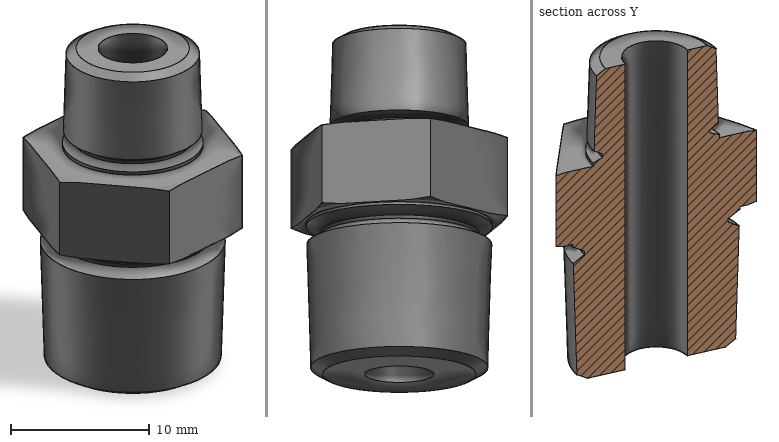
import cadquery as cq
import math

total_length = 25
bore_diameter = 5

hex_across_flats = 14
hex_bottom = 11.2
hex_height = 6.05
hex_top = hex_bottom + hex_height
hex_face_radius = 7.42
hex_top_corner_drop = 0.1
hex_bottom_corner_drop = 0.15

thread_taper = 1 / 32
chamfer_slope = math.tan(math.radians(30))

lower_chamfer = 0.5
lower_thread_top = 9.65
lower_thread_radius = 6.7
lower_groove_bottom = 10.2
lower_groove_top = 10.45
lower_groove_radius = 5.8
lower_collar_bottom = 11
lower_collar_radius = 6.75

upper_chamfer = 0.42
upper_thread_bottom = 18.45
upper_thread_radius = 5.02
upper_groove_top = 18.05
upper_groove_bottom = 17.8
upper_groove_radius = 4.35
upper_collar_top = 17.5
upper_collar_radius = 5.1


def revolve_profile(points):
    """Revolve a closed (radius, height) outline about Z."""
    return cq.Workplane("XZ").polyline(points).close().revolve(360, (0, 0, 0), (0, 1, 0))


def make_hexagon():
    """Hexagon with its corners bevelled by a shallow cone at each end."""
    corner_radius = hex_across_flats / math.sqrt(3)
    prism = (
        cq.Workplane("XY", origin=(0, 0, hex_bottom))
        .polygon(6, 2 * corner_radius)
        .extrude(hex_height)
    )
    overrun = 2
    rim_radius = hex_face_radius + overrun * (corner_radius - hex_face_radius)
    envelope = revolve_profile([
        (0, hex_bottom),
        (hex_face_radius, hex_bottom),
        (rim_radius, hex_bottom + overrun * hex_bottom_corner_drop),
        (rim_radius, hex_top - overrun * hex_top_corner_drop),
        (hex_face_radius, hex_top),
        (0, hex_top),
    ])
    return prism.intersect(envelope)


def make_lower_end():
    """Large tapered thread with an end chamfer, relief groove and collar."""
    end_radius = lower_thread_radius - thread_taper * (lower_thread_top - lower_chamfer)
    return revolve_profile([
        (0, 0),
        (end_radius - lower_chamfer / chamfer_slope, 0),
        (end_radius, lower_chamfer),
        (lower_thread_radius, lower_thread_top),
        (lower_groove_radius, lower_groove_bottom),
        (lower_groove_radius, lower_groove_top),
        (lower_collar_radius, lower_collar_bottom),
        (lower_collar_radius, hex_bottom),
        (0, hex_bottom),
    ])


def make_upper_end():
    """Small tapered thread with an end chamfer, relief groove and collar."""
    chamfer_start = total_length - upper_chamfer
    end_radius = upper_thread_radius - thread_taper * (chamfer_start - upper_thread_bottom)
    return revolve_profile([
        (0, hex_top),
        (upper_collar_radius, hex_top),
        (upper_collar_radius, upper_collar_top),
        (upper_groove_radius, upper_groove_bottom),
        (upper_groove_radius, upper_groove_top),
        (upper_thread_radius, upper_thread_bottom),
        (end_radius, chamfer_start),
        (end_radius - upper_chamfer / chamfer_slope, total_length),
        (0, total_length),
    ])


bore = cq.Workplane("XY").circle(bore_diameter / 2).extrude(total_length)
result = make_hexagon().union(make_lower_end()).union(make_upper_end()).cut(bore)